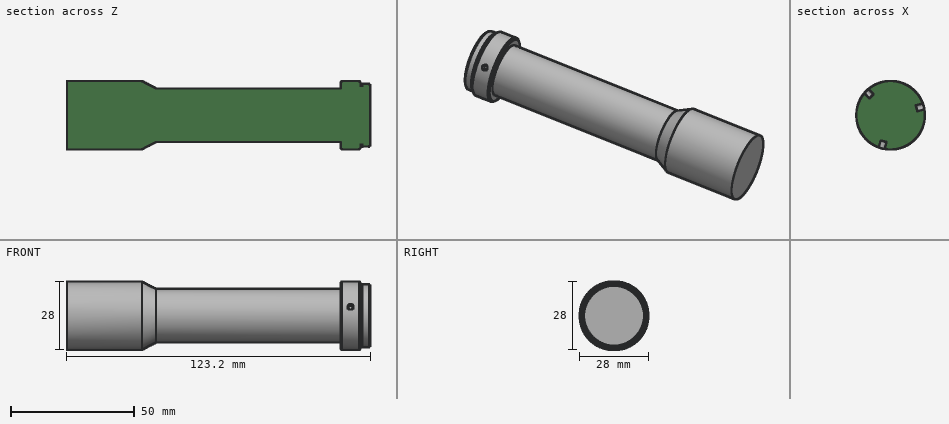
import cadquery as cq

LENGTH = 123.2
HEAD_DIAMETER = 28.0
HEAD_RADIUS = HEAD_DIAMETER / 2
HEAD_LENGTH = 30.4
TAPER_LENGTH = 5.8
TUBE_RADIUS = 11.0

COLLAR_RADIUS = HEAD_RADIUS
COLLAR_START = 111.1
COLLAR_LENGTH = 8.1
EDGE_CHAMFER = 0.6

GROOVE_RADIUS = 12.1
GROOVE_WIDTH = 0.7
LIP_RADIUS = 12.8

HOLE_DIAMETER = 2.3
HOLE_COUNT = 3
HOLE_FIRST_ANGLE = 45.0
HOLE_FLOOR_RADIUS = TUBE_RADIUS


def cylinder(start, length, radius):
    """Solid cylinder on the part axis, beginning at X = start."""
    return cq.Workplane("YZ", origin=(start, 0, 0)).circle(radius).extrude(length)


def make_body():
    """Head with a conical taper down to the long tube."""
    taper_end = HEAD_LENGTH + TAPER_LENGTH
    return (
        cq.Workplane("XY")
        .lineTo(0, HEAD_RADIUS)
        .lineTo(HEAD_LENGTH, HEAD_RADIUS)
        .lineTo(taper_end, TUBE_RADIUS)
        .lineTo(COLLAR_START, TUBE_RADIUS)
        .lineTo(COLLAR_START, 0)
        .close()
        .revolve(360, (0, 0, 0), (1, 0, 0))
    )


def make_collar():
    """Collar with both rims chamfered."""
    collar = cylinder(COLLAR_START, COLLAR_LENGTH, COLLAR_RADIUS)
    return collar.edges("%CIRCLE").chamfer(EDGE_CHAMFER)


def make_end():
    """Relief groove and chamfered lip beyond the collar."""
    groove_start = COLLAR_START + COLLAR_LENGTH
    lip_start = groove_start + GROOVE_WIDTH
    groove = cylinder(groove_start, GROOVE_WIDTH, GROOVE_RADIUS)
    lip = cylinder(lip_start, LENGTH - lip_start, LIP_RADIUS)
    return groove.union(lip.faces(">X").edges().chamfer(EDGE_CHAMFER))


def make_screw_hole(angle):
    """Radial blind hole cutter at mid collar, turned about the part axis."""
    hole_x = COLLAR_START + COLLAR_LENGTH / 2
    hole = (
        cq.Workplane("XZ", origin=(hole_x, HOLE_FLOOR_RADIUS, 0))
        .circle(HOLE_DIAMETER / 2)
        .extrude(-(COLLAR_RADIUS - HOLE_FLOOR_RADIUS))
    )
    return hole.rotate((0, 0, 0), (1, 0, 0), angle)


result = make_body().union(make_collar()).union(make_end())
for i in range(HOLE_COUNT):
    result = result.cut(make_screw_hole(HOLE_FIRST_ANGLE + i * 360 / HOLE_COUNT))